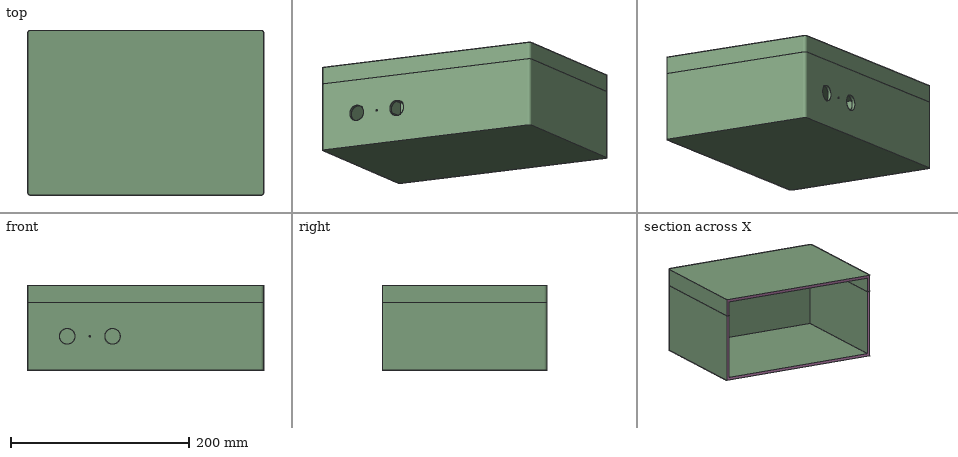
import cadquery as cq

LENGTH = 265.02
WIDTH = 185.01
HEIGHT = 95.25

LID_HEIGHT = 19.05
BASE_HEIGHT = HEIGHT - LID_HEIGHT
WALL = 3.556
BASE_CORNER_RADIUS = 3.175
LID_CORNER_RADIUS = 3.25

PORT_DIAMETER = 17.4625
PORT_SPACING = 50.8
FIRST_PORT_FROM_SIDE = 44.45
PORT_HEIGHT = 38.1
PILOT_DIAMETER = 1.5

FRONT_FACE = -WIDTH / 2
FIRST_PORT_X = -LENGTH / 2 + FIRST_PORT_FROM_SIDE
PORT_POSITIONS = [FIRST_PORT_X, FIRST_PORT_X + PORT_SPACING]
PILOT_X = FIRST_PORT_X + PORT_SPACING / 2


def rounded_block(corner_radius, height):
    """Full-size block standing on Z = 0 with rounded vertical corners."""
    block = cq.Workplane("XY").box(LENGTH, WIDTH, height, centered=(True, True, False))
    return block.edges("|Z").fillet(corner_radius)


def cavity(height):
    """Square-cornered space inside the walls, standing on Z = 0."""
    return cq.Workplane("XY").box(
        LENGTH - 2 * WALL, WIDTH - 2 * WALL, height, centered=(True, True, False)
    )


def front_wall_drill(x, diameter):
    """Cylinder that passes through the front wall at port height."""
    return (
        cq.Workplane("XZ", origin=(x, FRONT_FACE, PORT_HEIGHT))
        .circle(diameter / 2)
        .extrude(-WALL)
    )


def make_base():
    """Open-topped box with two ports and a pilot hole in the front wall."""
    body = rounded_block(BASE_CORNER_RADIUS, BASE_HEIGHT)
    body = body.cut(cavity(BASE_HEIGHT - WALL).translate((0, 0, WALL)))
    for x in PORT_POSITIONS:
        body = body.cut(front_wall_drill(x, PORT_DIAMETER))
    return body.cut(front_wall_drill(PILOT_X, PILOT_DIAMETER))


def make_lid():
    """Open-bottomed cover that rests on the rim of the base."""
    body = rounded_block(LID_CORNER_RADIUS, LID_HEIGHT)
    body = body.cut(cavity(LID_HEIGHT - WALL))
    return body.translate((0, 0, BASE_HEIGHT))


base = make_base()
lid = make_lid()

result = cq.Compound.makeCompound([base.val(), lid.val()])